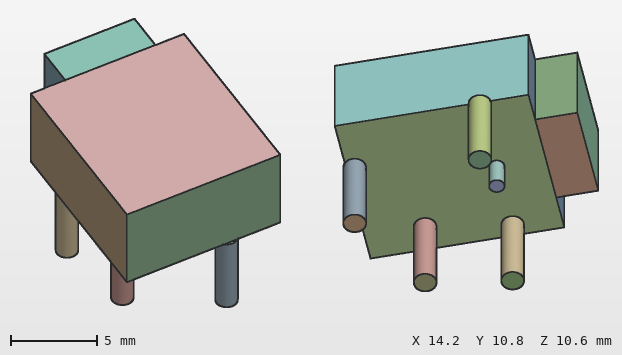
import cadquery as cq


body_height = 5.5
housing_length = 11.5
housing_y_min = -5.3
housing_y_max = 4.9
housing_width = housing_y_max - housing_y_min
nose_length = 2.5
nose_width = 6.0

pin_diameter = 1.33
pin_length = 5.1
front_pin_x = 2.9
middle_pin_x = front_pin_x + 5.0
rear_pin_x = 11.0
pin_positions = [
    (front_pin_x, 4.8),
    (front_pin_x, -4.5),
    (middle_pin_x, -3.6),
    (rear_pin_x, 1.6),
]

peg_diameter = 0.9
peg_length = 1.8
peg_position = (front_pin_x, 0)


def make_housing():
    """Main block behind the shoulder."""
    return cq.Workplane("XY").box(
        housing_length, housing_width, body_height, centered=False
    ).translate((0, housing_y_min, 0))


def make_nose():
    """Narrower block standing in front of the shoulder, as tall as the housing."""
    return cq.Workplane("XY").box(
        nose_length, nose_width, body_height, centered=(False, True, False)
    ).translate((-nose_length, 0, 0))


def make_post(position, diameter, length):
    """Round post hanging down from the underside of the housing."""
    return cq.Workplane("XY").center(*position).circle(diameter / 2).extrude(-length)


def make_pin(position):
    """Long terminal pin."""
    return make_post(position, pin_diameter, pin_length)


def make_peg():
    """Short, thin locating peg."""
    return make_post(peg_position, peg_diameter, peg_length)


housing = make_housing()
nose = make_nose()
pins = [make_pin(position) for position in pin_positions]
peg = make_peg()

result = cq.Compound.makeCompound(
    [housing.val(), nose.val(), *[pin.val() for pin in pins], peg.val()]
)